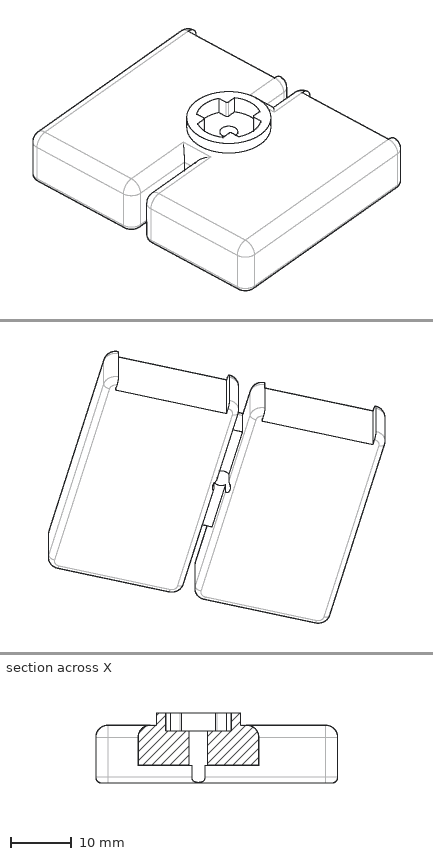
import cadquery as cq

length = 48.0
depth = 40.0
block_height = 9.6
gap = 2.0
block_width = (length - gap) / 2
edge_radius = 2.0
fillet_clearance = 0.005
bottom_radius = 1.0

bridge_length = 19.95
bridge_bottom = 2.95
hub_y = 3.0

hub_diameter = 13.9
hub_height = 2.0
socket_diameter = 10.8
socket_arm_width = 5.55
socket_depth = 3.0
socket_corner_radius = 0.3
hole_diameter = 3.0


def make_block(center_x):
    """Rounded block with its back face set in between the corner posts."""
    block = (
        cq.Workplane("XY")
        .center(center_x, 0)
        .rect(block_width, depth)
        .extrude(block_height)
        .edges("|Z")
        .fillet(edge_radius)
        .faces(">Z")
        .edges()
        .fillet(edge_radius - fillet_clearance)
        .faces("<Z")
        .edges()
        .fillet(bottom_radius)
    )
    recess = (
        cq.Workplane("XY")
        .center(center_x, depth / 2)
        .rect(block_width - 2 * edge_radius, 2 * edge_radius)
        .extrude(block_height)
    )
    return block.cut(recess)


def make_bridge():
    """Bar whose rounded ends meet the rounded block edges in mitres."""
    return (
        cq.Workplane("XY", origin=(0, hub_y, bridge_bottom))
        .rect(gap + 2 * edge_radius, bridge_length)
        .extrude(block_height - bridge_bottom)
        .edges(">Z and |X")
        .fillet(edge_radius)
    )


def make_socket():
    """Cross with four equal arms, rounded inner corners and arms ended by a circle."""
    floor = cq.Workplane("XY", origin=(0, hub_y, block_height + hub_height - socket_depth))
    arm_x = floor.rect(socket_diameter, socket_arm_width).extrude(socket_depth)
    arm_y = floor.rect(socket_arm_width, socket_diameter).extrude(socket_depth)
    outline = floor.circle(socket_diameter / 2).extrude(socket_depth)
    reach = (socket_arm_width + socket_diameter) / 4
    inner_corners = cq.selectors.BoxSelector(
        (-reach, hub_y - reach, 0),
        (reach, hub_y + reach, block_height + hub_height),
    )
    cross = arm_x.union(arm_y).edges("|Z").edges(inner_corners).fillet(socket_corner_radius)
    return cross.intersect(outline)


hub = (
    cq.Workplane("XY", origin=(0, hub_y, block_height))
    .circle(hub_diameter / 2)
    .extrude(hub_height)
)
through_hole = (
    cq.Workplane("XY", origin=(0, hub_y, 0))
    .circle(hole_diameter / 2)
    .extrude(block_height + hub_height)
)

result = make_bridge()
for side in (-1, 1):
    result = result.union(make_block(side * (block_width + gap) / 2))
result = result.union(hub).cut(make_socket()).cut(through_hole)